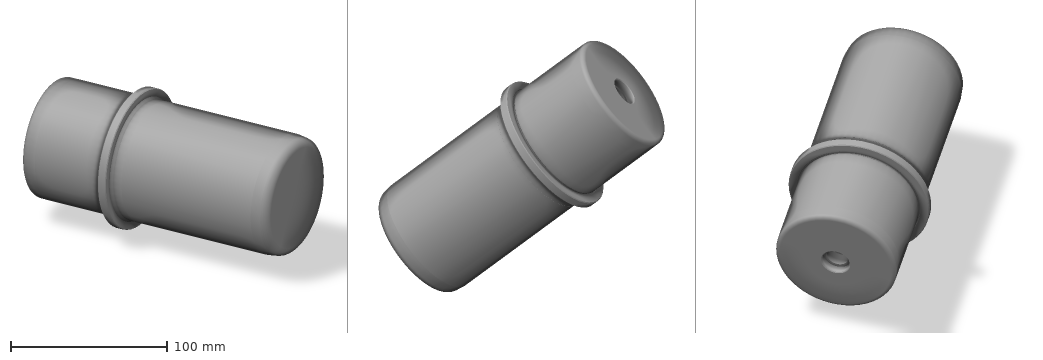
import cadquery as cq
import math

length = 180.0
body_radius = 40.0
flange_radius = 93.0 / 2

end_fillet = 2.9
end_band = 9.9
end_taper = 0.09

flange_start = 59.8
flange_width = 6.0
flange_end = flange_start + flange_width
flange_edge = 0.5
undercut_width = 1.0
undercut_depth = 0.5
face_recess_depth = 0.27
face_recess_radius = body_radius + 0.9
shoulder_rise = 1.3
shoulder_width = 2.3
relief_end = 73.8
relief_depth = 0.1

lead_start = 168.8
lead_end = 175.3
lead_drop = 0.9
nose_width = length - lead_end
lead_angle = math.atan2(lead_drop, lead_end - lead_start)

mouth_radius = 9.7
bore_radius = 9.2
bore_depth = 5.4
drill_radius = 7.0
drill_depth = 14.4
drill_point_angle = 118.0


def make_body():
    """Revolve the stepped outline about the X axis."""
    nose_radius = nose_width / (1 - math.sin(lead_angle))
    nose_top = body_radius - lead_drop
    face_radius = nose_top - nose_radius * math.cos(lead_angle)
    mid_angle = (math.pi / 2 - lead_angle) / 2
    nose_mid = (
        length - nose_radius + nose_radius * math.cos(mid_angle),
        face_radius + nose_radius * math.sin(mid_angle),
    )
    arc_rise = end_fillet * math.sqrt(0.5)
    end_radius = body_radius - end_taper
    end_mid = (end_fillet - arc_rise, end_radius - end_fillet + arc_rise)
    undercut_radius = body_radius - undercut_depth
    recess_floor = flange_start + face_recess_depth
    relief_radius = body_radius - relief_depth
    outline = (
        cq.Workplane("XY")
        .lineTo(0, end_radius - end_fillet)
        .threePointArc(end_mid, (end_fillet, end_radius))
        .lineTo(end_band, body_radius)
        .lineTo(flange_start - undercut_width, body_radius)
        .lineTo(flange_start - undercut_width + undercut_depth, undercut_radius)
        .lineTo(recess_floor, undercut_radius)
        .lineTo(recess_floor, face_recess_radius - face_recess_depth)
        .lineTo(flange_start, face_recess_radius)
        .lineTo(flange_start, flange_radius - flange_edge)
        .lineTo(flange_start + flange_edge, flange_radius)
        .lineTo(flange_end - flange_edge, flange_radius)
        .lineTo(flange_end, flange_radius - flange_edge)
        .lineTo(flange_end, body_radius + shoulder_rise)
        .lineTo(flange_end + shoulder_width, relief_radius)
        .lineTo(relief_end, relief_radius)
        .lineTo(relief_end, body_radius)
        .lineTo(lead_start, body_radius)
        .lineTo(lead_end, nose_top)
        .threePointArc(nose_mid, (length, face_radius))
        .lineTo(length, 0)
        .close()
    )
    return outline.revolve(360, (0, 0, 0), (1, 0, 0))


def make_centre_hole():
    """Chamfered counterbore followed by a drilled hole with a pointed bottom."""
    mouth_chamfer = mouth_radius - bore_radius
    point_depth = drill_radius / math.tan(math.radians(drill_point_angle / 2))
    outline = (
        cq.Workplane("XY")
        .lineTo(0, mouth_radius)
        .lineTo(mouth_chamfer, bore_radius)
        .lineTo(bore_depth, bore_radius)
        .lineTo(bore_depth, drill_radius)
        .lineTo(drill_depth, drill_radius)
        .lineTo(drill_depth + point_depth, 0)
        .close()
    )
    return outline.revolve(360, (0, 0, 0), (1, 0, 0))


result = make_body().cut(make_centre_hole())